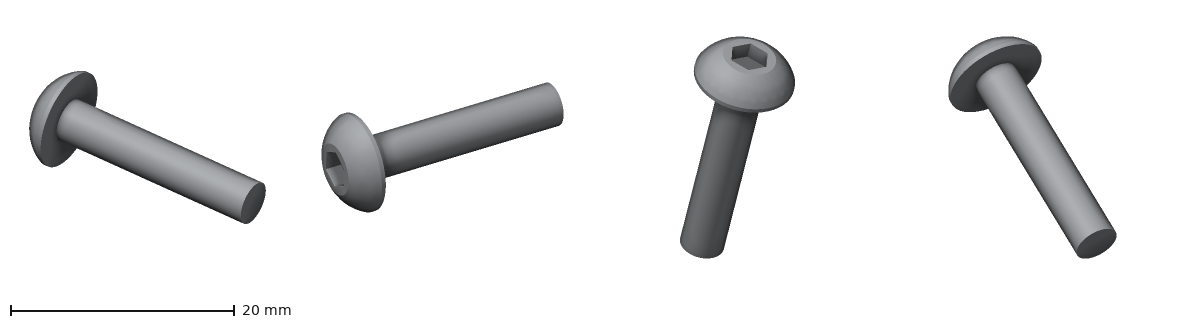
import cadquery as cq
import math

total_length = 22.4
head_diameter = 9.17
shank_diameter = 4.03

head_height = 2.6
rim_width = 0.4
face_diameter = 4.85
dome_bulge = 0.3

socket_across_flats = 3.2
socket_depth = 1.57
socket_turn = 3.0

head_radius = head_diameter / 2
shank_radius = shank_diameter / 2
face_radius = face_diameter / 2
dome_height = head_height - rim_width


def screw_body():
    """Revolve the half profile of head and shank about the X axis."""
    dome_rise = head_radius - face_radius
    chord = math.hypot(dome_height, dome_rise)
    dome_middle = (
        dome_height / 2 - dome_bulge * dome_rise / chord,
        (face_radius + head_radius) / 2 + dome_bulge * dome_height / chord,
    )
    return (
        cq.Workplane("XY")
        .lineTo(0, face_radius)
        .threePointArc(dome_middle, (dome_height, head_radius))
        .lineTo(head_height, head_radius)
        .lineTo(head_height, shank_radius)
        .lineTo(total_length, shank_radius)
        .lineTo(total_length, 0)
        .close()
        .revolve(360, (0, 0, 0), (1, 0, 0))
    )


def hex_socket():
    """Flat-bottomed hexagon with one corner pointing nearly along +Z."""
    across_corners = socket_across_flats / math.cos(math.pi / 6)
    return (
        cq.Workplane("YZ")
        .polygon(6, across_corners)
        .extrude(socket_depth)
        .rotate((0, 0, 0), (1, 0, 0), 90 + socket_turn)
    )


result = screw_body().cut(hex_socket())